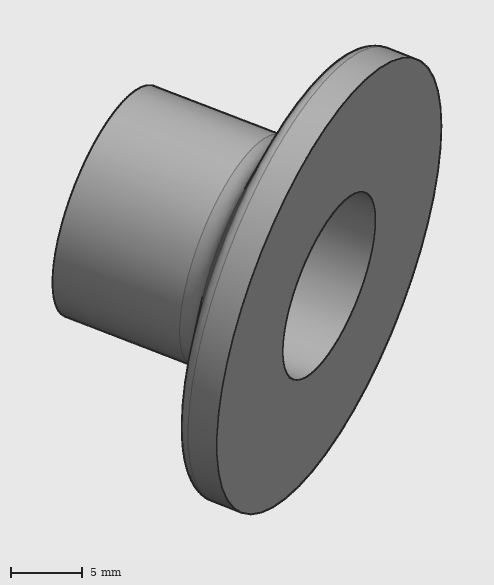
import cadquery as cq
import math

total_length = 17.3
flange_diameter = 34.0
tube_diameter = 17.3
bore_diameter = 14.0
rim_width = 2.85
cone_angle = 20.0
neck_radius = 2.0
rim_radius = 0.8

flange_r = flange_diameter / 2
tube_r = tube_diameter / 2
bore_r = bore_diameter / 2
rim_corner_x = total_length - rim_width
cone_depth = (flange_r - tube_r) * math.tan(math.radians(cone_angle))
neck_corner_x = rim_corner_x - cone_depth


def revolved_body():
    """Tube, cone and rim with sharp corners, revolved about X."""
    profile = (
        cq.Workplane("XY")
        .moveTo(0, bore_r)
        .lineTo(0, tube_r)
        .lineTo(neck_corner_x, tube_r)
        .lineTo(rim_corner_x, flange_r)
        .lineTo(total_length, flange_r)
        .lineTo(total_length, bore_r)
        .close()
    )
    return profile.revolve(360, (0, 0, 0), (1, 0, 0))


def round_circle_at(body, x, circle_radius, fillet_radius):
    """Fillet the circular edge of the given radius that lies at x."""
    margin = 0.05
    reach = circle_radius + margin
    edge_zone = cq.selectors.BoxSelector(
        (x - margin, -reach, -reach), (x + margin, reach, reach), boundingbox=True
    )
    return body.edges("%CIRCLE").edges(edge_zone).fillet(fillet_radius)


body = revolved_body()
body = round_circle_at(body, neck_corner_x, tube_r, neck_radius)
result = round_circle_at(body, rim_corner_x, flange_r, rim_radius)